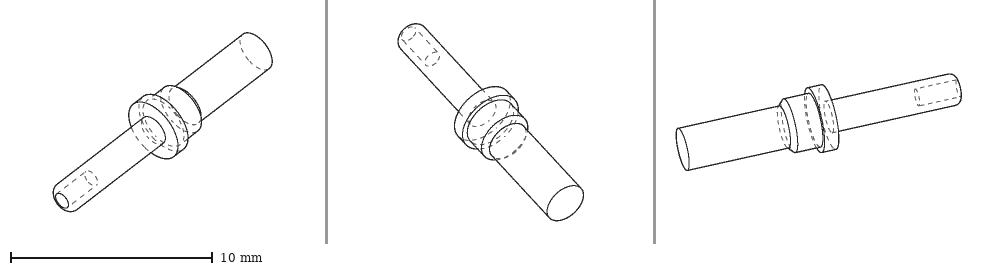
import cadquery as cq

total_length = 14.35
pin_diameter = 1.61
pin_length = 6.75
tip_radius = 0.37
bore_depth = 2.15
flange_diameter = 3.3
flange_thickness = 0.75
collar_diameter = 2.74
collar_length = 1.6
collar_chamfer = 0.29
tail_diameter = 2.15

bore_diameter = pin_diameter - 2 * tip_radius
flange_end = pin_length + flange_thickness
collar_end = flange_end + collar_length
tail_length = total_length - collar_end


def cylinder(start, length, diameter):
    """Solid cylinder along +Y beginning at the given distance from the tip."""
    plane = cq.Workplane(cq.Plane(origin=(0, start, 0), xDir=(1, 0, 0), normal=(0, 1, 0)))
    return plane.circle(diameter / 2).extrude(length)


pin = cylinder(0, pin_length, pin_diameter).faces("<Y").edges().fillet(tip_radius)
flange = cylinder(pin_length, flange_thickness, flange_diameter)
collar = cylinder(flange_end, collar_length, collar_diameter).faces(">Y").edges().chamfer(collar_chamfer)
tail = cylinder(collar_end, tail_length, tail_diameter)
bore = cylinder(0, bore_depth, bore_diameter)

result = pin.union(flange).union(collar).union(tail).cut(bore)